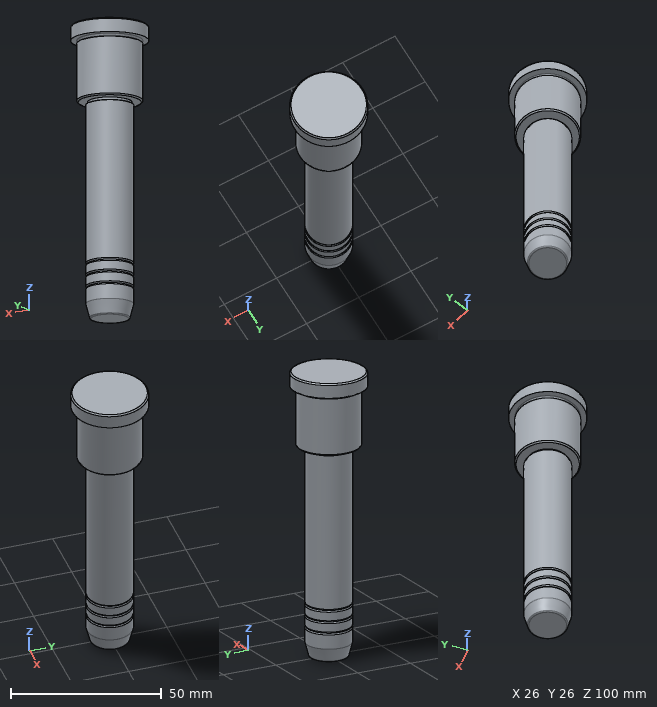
import cadquery as cq
import math

length = 100.0

head_diameter = 26.0
head_height = 5.0
head_chamfer = 0.5

collar_diameter = 22.0
collar_bottom = 74.0
collar_chamfer = 0.5

shaft_diameter = 16.0
tip_height = 5.0
tip_half_angle = 15.0
tip_fillet = 0.5

relief_width = 1.0
head_relief_depth = 0.6
head_relief_fillet = 0.6
shaft_relief_depth = 0.6

ring_count = 3
ring_pitch = 4.0
first_ring_bottom = 10.0
ring_width = 1.0
ring_depth = 0.3


def cylinder(diameter, bottom, top):
    """Solid cylinder on the Z axis between two heights."""
    return cq.Workplane("XY").workplane(offset=bottom).circle(diameter / 2).extrude(top - bottom)


def cut_groove(body, diameter, depth, bottom, width):
    """Cut a square groove into a cylinder of the given diameter."""
    floor_diameter = diameter - 2 * depth
    ring = cylinder(diameter, bottom, bottom + width).cut(cylinder(floor_diameter, bottom, bottom + width))
    return body.cut(ring)


def cut_v_groove(body, radius, depth, bottom, width):
    """Cut a symmetric V-shaped groove around a cylinder of the given radius."""
    profile = [
        (radius, bottom),
        (radius - depth, bottom + width / 2),
        (radius, bottom + width),
    ]
    ring = cq.Workplane("XZ").polyline(profile).close().revolve(360, (0, 0, 0), (0, 1, 0))
    return body.cut(ring)


def make_head():
    head = cylinder(head_diameter, length - head_height, length)
    return head.faces(">Z").edges().chamfer(head_chamfer)


def make_collar():
    collar_top = length - head_height
    collar = cylinder(collar_diameter, collar_bottom, collar_top)
    collar = collar.faces("<Z").edges().chamfer(collar_chamfer)
    return cut_groove(collar, collar_diameter, head_relief_depth, collar_top - relief_width, relief_width)


def make_shaft():
    shaft_radius = shaft_diameter / 2
    tip_radius = shaft_radius - tip_height * math.tan(math.radians(tip_half_angle))
    profile = [
        (0, 0),
        (tip_radius, 0),
        (shaft_radius, tip_height),
        (shaft_radius, collar_bottom),
        (0, collar_bottom),
    ]
    shaft = cq.Workplane("XZ").polyline(profile).close().revolve(360, (0, 0, 0), (0, 1, 0))
    shaft = shaft.faces("<Z").edges().fillet(tip_fillet)

    shaft = cut_groove(shaft, shaft_diameter, shaft_relief_depth, collar_bottom - relief_width, relief_width)
    for index in range(ring_count):
        ring_bottom = first_ring_bottom + index * ring_pitch
        shaft = cut_v_groove(shaft, shaft_radius, ring_depth, ring_bottom, ring_width)
    return shaft


def round_head_relief(body):
    """Round the inner corner where the relief groove meets the underside of the head."""
    underside = length - head_height
    relief_radius = collar_diameter / 2 - head_relief_depth
    margin = head_relief_depth / 2
    corner = cq.selectors.BoxSelector(
        (-relief_radius - margin, -relief_radius - margin, underside - margin),
        (relief_radius + margin, relief_radius + margin, underside + margin),
        boundingbox=True,
    )
    return body.edges("%CIRCLE").edges(corner).fillet(head_relief_fillet)


result = round_head_relief(make_shaft().union(make_collar()).union(make_head()))